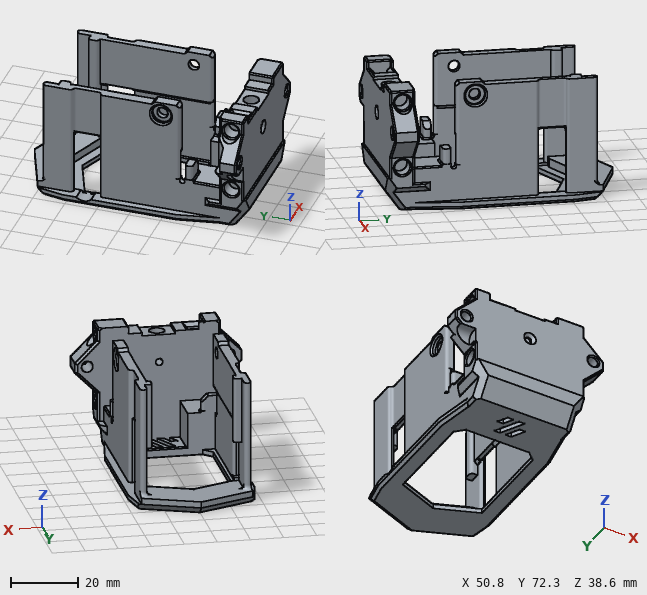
import cadquery as cq
import math

length = 72.3
width = 50.8
ear_half = width / 2
wall_outer = 16.8
wall_inner = 13.6
wall_top = 37.7

rail_half = 19.1
rail_height = 2.3
rail_chamfer = 0.95
ledge_height = 1.5
tip_half = 17.4
tip_start = 65.45
rail_rear = 57.05
rail_front = 21.5
rail_nose = 8.8
chevron_height = 4.2
chevron_step = 60.6
chevron_step_end = 55.7
chevron_inner = 57.35
chevron_slope = (length - tip_start) / tip_half
scoop_diameter = 7.1
scoop_floor = 1.45
window_center = 50.5

wall_front = 21.2
wall_rear = 64.15
thin_wall = 2.1
thin_inner = thin_wall - wall_outer
thin_start = 59.7
recess_depth = 1.4
recess_flat = 6.95
recess_blend = 1.7
window_length = 8.4
window_top = 22.35
window_bevel = 0.4
rib_reach = 1.2
rib_rear_corner = 0.8
rib_flank_end = 57.55
rib_root = 56.4
rib_bottom = 17.65
foot_radius = 1.4
tab_top = 38.6
tab_rear = 29.0
tab_chamfer = 1.0
front_fillet = 1.0
pivot_y = 27.05
pivot_z = 34.4
pivot_diameter = 3.4
pivot_bore = 6.0
pivot_bore_rim = 7.1
pivot_bore_depth = 1.45

block_rear = 19.6
block_top = 13.2
block_edge = 0.4
gusset_rear = 22.35
gusset_half = wall_inner - (gusset_rear - block_rear)
notch_floor = 12.1
post_front = 17.2
post_inner = 10.55
post_top = 18.4
post_fillet = 0.95
post_bevel = 2.0
post_foot = 0.4
bay_left = -6.3
bay_right = 7.15
bay_floor = rail_height
pocket_rear = 18.1
pocket_corner = 1.0
pocket_depth = 0.4

nose_top = 10.8
nose_bend = 5.9
nose_run = 4.35
nose_wide = 18.0
nose_narrow = 14.75
shoulder_top = 8.45
shoulder_rear = 13.2
shoulder_bevel = 1.8

plate_half = 18.65
plate_front = 0.65
plate_rear = 8.25
plate_top = 37.75
plate_step = 35.4
plate_edge = 0.4
plate_back_edge = 0.7
plate_mid = (plate_front + plate_rear) / 2
ear_top = 27.0
ear_bottom = 23.9
ear_drop = ear_half - plate_half
step_left = -13.5
step_right = 9.25
saddle_left = -4.9
saddle_right = 5.2
hook_end = -12.0
saddle_floor = 34.5
ear_hole_x = 21.8
hole_z = 25.9
ear_hole_diameter = 3.4
ear_hole_edge = 0.4
screw_diameter = 2.1
screw_head_diameter = 4.1
top_bore_diameter = 4.7
side_bore_diameter = 4.7
side_bore_depth = 4.7
side_bore_edge = 0.4
side_bore_heights = (14.0, 34.1)
cable_right = -8.25
cable_front = 1.4
cable_rear = 7.7
cable_floor = 31.1
cable_bevel = 1.15

relief_front = 5.7
relief_rear = 7.5
relief_roof = 30.2
relief_floor = 21.8
channel_diameter = 4.7
channel_y = 2.25
channel_z = 19.95

vent_width = 1.95
vent_slant = 0.54
vents = ((-3.4, 15.75, plate_rear), (0.4, 15.75, 11.4), (-4.9, 11.4, plate_rear))

far = 43.4
clear = 0.7


def box(x0, x1, y0, y1, z0, z1):
    """Axis-aligned block given by its limits."""
    return cq.Workplane("XY").box(x1 - x0, y1 - y0, z1 - z0, centered=False).translate((x0, y0, z0))


def prism(points, z0, z1):
    """Vertical prism on a plan outline."""
    return cq.Workplane("XY").workplane(offset=z0).polyline(points).close().extrude(z1 - z0)


def prism_x(points, x0, x1):
    """Prism along X on a (Y, Z) outline."""
    return cq.Workplane("YZ", origin=(x0, 0, 0)).polyline(points).close().extrude(x1 - x0)


def prism_y(points, y0, y1):
    """Prism along Y on an (X, Z) outline."""
    return cq.Workplane("XZ", origin=(0, y0, 0)).polyline(points).close().extrude(y0 - y1)


def mirrored_outline(right_side):
    """Closed plan outline from the points of its right side."""
    return right_side + [(-x, y) for x, y in reversed(right_side) if x != 0]


def rod_x(diameter, x0, x1, y, z):
    """Cylinder along X."""
    return cq.Workplane("YZ", origin=(x0, y, z)).circle(diameter / 2).extrude(x1 - x0)


def cone_x(d0, d1, x0, x1, y, z):
    """Truncated cone along X from diameter d0 at x0 to d1 at x1."""
    start = cq.Workplane("YZ", origin=(x0, y, z)).circle(d0 / 2)
    return start.workplane(offset=x1 - x0).circle(d1 / 2).loft()


def cone_y(d0, d1, y0, y1, x, z):
    """Truncated cone along Y from diameter d0 at y0 to d1 at y1."""
    start = cq.Workplane("XZ", origin=(x, y0, z)).circle(d0 / 2)
    return start.workplane(offset=y0 - y1).circle(d1 / 2).loft()


def both_sides(left):
    """The left feature together with its mirror image."""
    return left.union(left.mirror("YZ"))


def chevron_y(apex, x):
    """Y of a chevron line with the given apex at distance x from the centre."""
    return apex - chevron_slope * x


def base_frame():
    """Rails with the raised rear chevron and the large opening."""
    outline = mirrored_outline(
        [
            (wall_outer, rail_nose),
            (rail_half, rail_front),
            (rail_half, rail_rear),
            (tip_half, tip_start),
            (0, length),
        ]
    )
    frame = prism(outline, 0, chevron_height)
    rear_edges = cq.selectors.BoxSelector((-tip_half, tip_start, -clear), (tip_half, length, clear))
    frame = frame.edges(rear_edges).chamfer(rail_height)
    rail_edges = cq.selectors.BoxSelector(
        (-rail_half - clear, rail_nose - clear, -clear),
        (rail_half + clear, tip_start - clear, clear),
    )
    frame = frame.edges(rail_edges).chamfer(rail_chamfer)
    frame = frame.cut(both_sides(box(-far, -wall_outer, 0, length, rail_height, far)))

    step_corner = (chevron_step - chevron_step_end) / chevron_slope

    def step(half):
        """Floor outline in front of the chevron step, out to the given half width."""
        return mirrored_outline(
            [(half, 0), (half, chevron_step_end), (step_corner, chevron_step_end), (0, chevron_step)]
        )

    opening = mirrored_outline(
        [
            (gusset_half, 0),
            (gusset_half, block_rear),
            (wall_inner, gusset_rear),
            (wall_inner, chevron_y(chevron_inner, wall_inner)),
            (0, chevron_inner),
        ]
    )
    frame = frame.cut(prism(step(wall_outer), rail_height, far))
    frame = frame.cut(prism(step(-thin_inner), ledge_height, far))
    return frame.cut(prism(opening, -clear, far))


def wall_panel(inner_x, z0, z1):
    """Wall in plan, with rounded ends and the outer recess, from z0 to z1."""
    rear_axis = wall_rear - thin_wall / 2
    floor_x = recess_depth - wall_outer
    blend_x = recess_depth / 2 - wall_outer
    rear_flat = window_center + recess_flat / 2
    front_flat = window_center - recess_flat / 2
    outline = cq.Workplane("XY").workplane(offset=z0).moveTo(inner_x, wall_front)
    if inner_x != thin_inner:
        outline = outline.lineTo(inner_x, thin_start).lineTo(thin_inner, thin_start)
    panel = (
        outline.lineTo(thin_inner, rear_axis)
        .threePointArc((thin_inner - thin_wall / 2, wall_rear), (-wall_outer, rear_axis))
        .lineTo(-wall_outer, rear_flat + recess_blend)
        .tangentArcPoint((blend_x, rear_flat + recess_blend / 2), relative=False)
        .tangentArcPoint((floor_x, rear_flat), relative=False)
        .lineTo(floor_x, front_flat)
        .tangentArcPoint((blend_x, front_flat - recess_blend / 2), relative=False)
        .tangentArcPoint((-wall_outer, front_flat - recess_blend), relative=False)
        .lineTo(-wall_outer, wall_front)
        .close()
        .extrude(z1 - z0)
    )
    return panel.faces("<Y").edges("|Z").fillet(front_fillet)


def left_rib():
    """Vertical rib inside the wall, near its rear end."""
    rib_face = rib_reach - wall_inner
    return (
        cq.Workplane("XY")
        .workplane(offset=rib_bottom)
        .moveTo(thin_inner, thin_start)
        .lineTo(rib_face - rib_rear_corner, thin_start)
        .tangentArcPoint((rib_face, thin_start - rib_rear_corner), relative=False)
        .lineTo(rib_face, rib_flank_end)
        .tangentArcPoint((-wall_inner, rib_root), relative=False)
        .lineTo(thin_inner, rib_root)
        .close()
        .extrude(wall_top - rib_bottom)
    )


def left_wall():
    """Upright wall, thin below and thick above, with its rib, tab, window and pivot hole."""
    ramp = tab_top - wall_top
    above_wall = [
        (tab_rear + ramp, wall_top),
        (tab_rear, tab_top),
        (length, tab_top),
        (length, wall_top),
    ]
    tab_corner = [
        (wall_front, tab_top - tab_chamfer),
        (wall_front + tab_chamfer, tab_top),
        (wall_front, tab_top),
    ]
    upper = wall_panel(-wall_inner, window_top, tab_top).cut(prism_x(above_wall, -far, 0))
    upper = upper.cut(prism_x(tab_corner, -far, 0))

    window_rear = window_center + window_length / 2
    window_front = window_rear - window_length
    window = box(-far, -wall_inner, window_front, window_rear, rail_height, window_top)

    lower_panel = wall_panel(thin_inner, rail_height, window_top).cut(window)
    jambs = cq.selectors.BoxSelector(
        (thin_inner - clear, window_front - clear, rail_height),
        (thin_inner + clear, window_rear + clear, window_top),
    )
    lower_panel = lower_panel.edges("|Z").edges(jambs).fillet(front_fillet)
    overhang = -wall_inner - thin_inner
    transition = [
        (thin_inner, window_top - overhang),
        (-wall_inner, window_top),
        (thin_inner, window_top),
    ]
    wall = lower_panel.union(upper).union(prism_y(transition, wall_front + front_fillet, thin_start))
    wall = wall.union(left_rib())

    recess_floor = recess_depth - wall_outer
    lip = [
        (recess_floor, window_top),
        (recess_floor + window_bevel, window_top),
        (recess_floor, window_top + window_bevel),
    ]
    wall = wall.cut(window)
    wall = wall.cut(prism_y(lip, window_front, window_rear))

    bore_end = pivot_bore_depth - wall_outer
    rim = (pivot_bore_rim - pivot_bore) / 2
    wall = wall.cut(rod_x(pivot_diameter, -far, 0, pivot_y, pivot_z))
    wall = wall.cut(rod_x(pivot_bore, -far, bore_end, pivot_y, pivot_z))
    wall = wall.cut(cone_x(pivot_bore_rim, pivot_bore, -wall_outer, rim - wall_outer, pivot_y, pivot_z))
    return wall.union(wall_foot(thin_inner - thin_wall / 2, wall_rear - thin_wall / 2))


def wall_foot(axis_x, axis_y):
    """Concave fillet around the rounded rear end, where it meets the chevron."""
    radius = thin_wall / 2
    bulge = foot_radius * (1 - math.sqrt(0.5))
    foot = (
        cq.Workplane("XZ", origin=(axis_x, axis_y, chevron_height))
        .lineTo(radius + foot_radius, 0)
        .threePointArc((radius + bulge, bulge), (radius, foot_radius))
        .lineTo(0, foot_radius)
        .close()
        .revolve(360, (0, 0, 0), (0, 1, 0))
    )
    return foot.intersect(box(-wall_outer, 0, axis_y, length, 0, far))


def lower_body():
    """Block, shoulders and sloping nose."""
    block = box(-wall_outer, wall_outer, 0, block_rear, 0, block_top)
    block = block.faces(">Z").edges("|Y").chamfer(block_edge)
    block = block.faces("<Z").edges("|Y").chamfer(rail_chamfer)
    link = box(-wall_outer, thin_inner, block_rear, wall_front + front_fillet, rail_chamfer, block_top)
    block = block.union(both_sides(link))

    drop = plate_half - wall_outer
    shoulder_plan = mirrored_outline(
        [(plate_half, 0), (plate_half, shoulder_rear - drop), (wall_outer, shoulder_rear)]
    )
    shoulders = prism(shoulder_plan, nose_bend, shoulder_top)
    plate_foot = box(-plate_half, plate_half, 0, plate_rear, nose_bend, nose_top)
    shoulders = shoulders.union(plate_foot.edges("|Z and >Y").chamfer(plate_back_edge))
    shoulders = shoulders.faces("<Z").edges("|Y").chamfer(shoulder_bevel)
    upper_block = box(-far, far, plate_front + plate_edge, length, nose_top, far)
    return block.union(shoulders).intersect(nose_envelope().union(upper_block))


def nose_envelope():
    """Space below the nose top, bounded by the sloping front and corner faces."""

    def section(half, front):
        """Plan with 45 degree front corners starting at the given half width."""
        corner = far - half
        return mirrored_outline([(half, front), (far, front + corner), (far, length)])

    def stage(z0, lower, z1, upper):
        """Straight-sided body between two plan sections."""
        start = cq.Workplane("XY").workplane(offset=z0).polyline(section(*lower)).close()
        return start.workplane(offset=z1 - z0).polyline(section(*upper)).close().loft(ruled=True)

    slope = stage(0, (nose_narrow, nose_run), nose_bend, (nose_narrow, 0))
    return slope.union(stage(nose_bend, (nose_narrow, 0), nose_top, (nose_wide, 0)))


def rear_bay(body):
    """Cut the bay in the block, its shallow floor pocket and the slanted vents."""
    body = body.cut(box(bay_left, bay_right, plate_rear, block_rear + clear, bay_floor, far))
    pocket_outline = [
        (bay_left, plate_rear),
        (bay_left, pocket_rear),
        (bay_right - pocket_corner, pocket_rear),
        (bay_right, pocket_rear - pocket_corner),
        (bay_right, plate_rear),
    ]
    body = body.cut(prism(pocket_outline, bay_floor - pocket_depth, far))
    for rear_x, rear_y, front_y in vents:
        shift = (rear_y - front_y) * vent_slant
        vent = [
            (rear_x, rear_y),
            (rear_x + vent_width, rear_y),
            (rear_x + vent_width + shift, front_y),
            (rear_x + shift, front_y),
        ]
        body = body.cut(prism(vent, -clear, bay_floor + clear))
    return body


def wall_notches():
    """Rounded relief slots between the walls and the posts."""
    radius = (wall_front - block_rear) / 2
    center_y = block_rear + radius
    slot = rod_x(2 * radius, -far, far, center_y, notch_floor + radius)
    return slot.union(box(-far, far, block_rear, wall_front, notch_floor + radius, block_top + clear))


def left_post():
    """Short post with rounded corners and a bevelled inner end."""
    post = box(-wall_outer, -post_inner, post_front, block_rear, bay_floor, post_top)
    post = post.edges("|Z").fillet(post_fillet)
    bevel = [
        (-post_inner - post_bevel, post_top),
        (-post_inner, post_top - post_bevel),
        (-post_inner, post_top),
    ]
    foot = box(
        -wall_outer,
        post_foot - post_inner,
        post_front - post_foot,
        block_rear,
        bay_floor,
        block_top + post_foot,
    )
    foot = foot.edges("|Z and >X and <Y").fillet(post_fillet)
    foot = foot.faces(">Z").edges("(not <X) and (not >Y)").chamfer(post_foot)
    return post.cut(prism_y(bevel, post_front, block_rear)).union(foot)


def front_plate():
    """Upright plate with pointed ears, a stepped top and bevelled edges."""
    foot = nose_top - plate_edge
    outline = [
        (-plate_half, foot),
        (-plate_half, ear_bottom - ear_drop),
        (-ear_half, ear_bottom),
        (-ear_half, ear_top),
        (-plate_half, ear_top + ear_drop),
        (-plate_half, plate_top),
        (step_left, plate_top),
        (step_left, plate_step),
        (step_right, plate_step),
        (step_right, plate_top),
        (plate_half, plate_top),
        (plate_half, ear_top + ear_drop),
        (ear_half, ear_top),
        (ear_half, ear_bottom),
        (plate_half, ear_bottom - ear_drop),
        (plate_half, foot),
    ]
    plate = prism_y(outline, plate_front, plate_rear)
    hook = box(step_left, hook_end, cable_rear, plate_rear, plate_step, plate_top)
    plate = plate.edges("|Y and >Z").chamfer(plate_edge)
    plate = plate.faces("<Y").edges().filter(lambda edge: edge.Center().z > foot + clear).chamfer(plate_edge)
    back_edges = plate.faces(">Y").edges().filter(
        lambda edge: abs(edge.Center().x) > plate_half - clear and edge.Center().z > foot
    )
    plate = back_edges.chamfer(plate_back_edge)
    plate = plate.union(hook.edges("|Y and >Z and >X").chamfer(plate_edge))
    plate = plate.cut(box(saddle_left, saddle_right, 0, plate_rear, saddle_floor, far))
    return plate.cut(cable_pocket())


def cable_pocket():
    """Pocket in the top step beside the left block, with bevelled rims."""
    rim_floor = plate_step - cable_bevel
    mouth = box(step_left, cable_right, cable_front, cable_rear, rim_floor, far)
    mouth = mouth.edges("<Z and (not <X)").chamfer(cable_bevel)
    well = box(
        step_left,
        cable_right - cable_bevel,
        cable_front + cable_bevel,
        cable_rear - cable_bevel,
        cable_floor,
        plate_step,
    )
    return mouth.union(well)


def plate_holes():
    """Screw, top, ear and side bores of the plate."""
    head_depth = (screw_head_diameter - screw_diameter) / 2
    head_end = plate_front + head_depth
    holes = cone_y(screw_diameter, screw_diameter, 0, plate_rear + clear, 0, hole_z)
    holes = holes.union(cone_y(screw_head_diameter, screw_diameter, plate_front, head_end, 0, hole_z))
    top_bore = cq.Workplane("XY", origin=(0, plate_mid, hole_z)).circle(top_bore_diameter / 2).extrude(far)
    holes = holes.union(top_bore)
    rim = ear_hole_diameter + 2 * ear_hole_edge
    for x in (-ear_hole_x, ear_hole_x):
        holes = holes.union(cone_y(ear_hole_diameter, ear_hole_diameter, 0, plate_rear + clear, x, hole_z))
        rim_end = plate_front + ear_hole_edge
        holes = holes.union(cone_y(rim, ear_hole_diameter, plate_front, rim_end, x, hole_z))
    for z in side_bore_heights:
        holes = holes.union(both_sides(left_side_bore(z)))
    return holes


def left_side_bore(z):
    """Blind bore along X from the left face, with a bevelled mouth."""
    mouth = side_bore_diameter + 2 * side_bore_edge
    bore = rod_x(side_bore_diameter, -plate_half - clear, side_bore_depth - plate_half, plate_mid, z)
    bevel_end = side_bore_edge - plate_half
    bevel = cone_x(mouth, side_bore_diameter, -plate_half, bevel_end, plate_mid, z)
    return bore.union(bevel).union(rod_x(mouth, -ear_half - clear, -plate_half, plate_mid, z))


def left_ear_cuts():
    """Rear corner relief of the left ear and the round-ended channel below it."""
    relief = [
        (relief_front, relief_floor),
        (relief_front, relief_roof),
        (relief_rear, relief_roof + relief_rear - relief_front),
        (plate_rear + clear, relief_roof + relief_rear - relief_front),
        (plate_rear + clear, relief_floor),
    ]
    radius = channel_diameter / 2
    channel = rod_x(channel_diameter, -far, -plate_half, channel_y, channel_z)
    mouth = box(-far, -plate_half, 0, channel_y, channel_z - radius, channel_z + radius)
    return prism_x(relief, -far, -plate_half).union(channel).union(mouth)


def rail_scoop():
    """Cylindrical dip across the left rail under the window."""
    return rod_x(scoop_diameter, -far, -wall_inner, window_center, scoop_floor + scoop_diameter / 2)


base = rear_bay(base_frame().union(both_sides(left_wall())).union(lower_body()))
base = base.cut(wall_notches()).cut(rail_scoop()).union(both_sides(left_post()))
result = base.union(front_plate()).cut(plate_holes()).cut(left_ear_cuts())